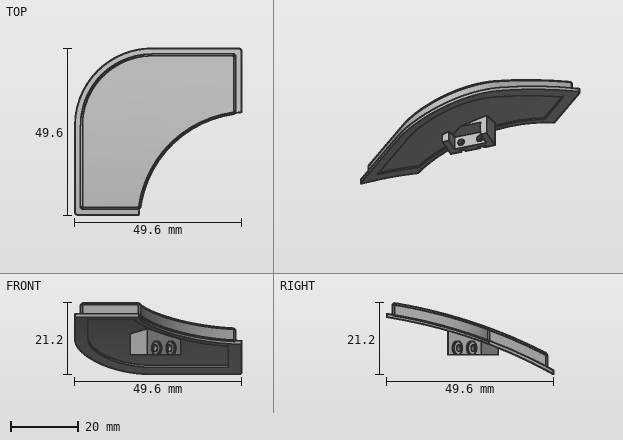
import cadquery as cq
import math

SIDE = 49.6
TURN_RADIUS = 23.0
CORNER_RADIUS = 1.0

CROWN_Y = -72.0
FLANGE_BOTTOM_RADIUS = 148.0
FLANGE_THICKNESS = 1.05
PLUG_THICKNESS = 3.5
RECESS_DEPTH = 0.55
FLANGE_TOP_RADIUS = FLANGE_BOTTOM_RADIUS + FLANGE_THICKNESS
PLUG_TOP_RADIUS = FLANGE_TOP_RADIUS + PLUG_THICKNESS
RECESS_RADIUS = FLANGE_BOTTOM_RADIUS + RECESS_DEPTH
CROWN_Z = -math.sqrt(FLANGE_BOTTOM_RADIUS**2 - CROWN_Y**2)

BEND_CENTRE = 51.65
FLANGE_BEND_RADIUS = 32.65
BEND_OVERHANG = 0.3
PLUG_BEND_RADIUS = FLANGE_BEND_RADIUS - BEND_OVERHANG
RECESS_BEND_RADIUS = 34.6

PLUG_ROOT_DEPTH = 0.45
PLUG_ROOT_RADIUS = FLANGE_TOP_RADIUS - PLUG_ROOT_DEPTH
PLUG_INSET = 1.7
PLUG_CHAMFER = 0.6
RECESS_INSET = 3.9

BLOCK_LENGTH = 14.0
BLOCK_WIDTH = 7.2
BLOCK_CENTRE = 23.95
BLOCK_BOTTOM_Z = 5.8
BLOCK_OVERLAP = 0.1
SCREW_SPACING = 6.0
SCREW_HEIGHT = 2.0
SCREW_DIAMETER = 1.9
COUNTERBORE_DIAMETER = 4.2
COUNTERBORE_DEPTH = 0.7
POCKET_LENGTH = 10.0
POCKET_DEPTH = 5.0
POCKET_HEIGHT = 4.2

CLEARANCE = 10.0
PRISM_HEIGHT = 40.0


def bend_end_position(far, bend_radius):
    """Distance along the far edges at which the inner bend meets them."""
    return BEND_CENTRE - math.sqrt(bend_radius**2 - (BEND_CENTRE - far) ** 2)


def bend_prism(inset, bend_radius):
    """Upright prism of the footprint, inset from the square and cut by the inner bend."""
    near = inset
    far = SIDE - inset
    turn = TURN_RADIUS - inset
    turn_mid = TURN_RADIUS - turn * math.sqrt(0.5)
    bend_end = bend_end_position(far, bend_radius)
    bend_mid = BEND_CENTRE - bend_radius * math.sqrt(0.5)
    return (
        cq.Workplane("XY")
        .moveTo(near, -far)
        .lineTo(near, -TURN_RADIUS)
        .threePointArc((turn_mid, -turn_mid), (TURN_RADIUS, -near))
        .lineTo(far, -near)
        .lineTo(far, -bend_end)
        .threePointArc((bend_mid, -bend_mid), (bend_end, -far))
        .close()
        .extrude(PRISM_HEIGHT)
    )


def crown_cylinder(radius):
    """Solid cylinder along X below a crowned skin."""
    return (
        cq.Workplane("YZ", origin=(-CLEARANCE, 0, 0))
        .center(CROWN_Y, CROWN_Z)
        .circle(radius)
        .extrude(SIDE + 2 * CLEARANCE)
    )


def crown_height(y, radius):
    """Height of a crowned skin at the given Y."""
    return CROWN_Z + math.sqrt(radius**2 - (y - CROWN_Y) ** 2)


def nearest(x, y, z):
    """Selector for the edge or face centred nearest to a point."""
    return cq.selectors.NearestToPointSelector((x, y, z))


def make_flange():
    """Thin crowned plate with rounded square corners."""
    upright = PRISM_HEIGHT / 2
    square_corners = nearest(0, -SIDE, upright) + nearest(SIDE, 0, upright)
    prism = bend_prism(0, FLANGE_BEND_RADIUS).edges(square_corners).fillet(CORNER_RADIUS)
    return prism.intersect(crown_cylinder(FLANGE_TOP_RADIUS)).cut(crown_cylinder(FLANGE_BOTTOM_RADIUS))


def make_plug():
    """Raised body on the flange, overhanging it along the inner bend."""
    near = PLUG_INSET
    far = SIDE - PLUG_INSET
    bend_end = bend_end_position(far, PLUG_BEND_RADIUS)
    upright = PRISM_HEIGHT / 2
    corners = (
        nearest(near, -far, upright)
        + nearest(bend_end, -far, upright)
        + nearest(far, -bend_end, upright)
        + nearest(far, -near, upright)
    )
    prism = bend_prism(PLUG_INSET, PLUG_BEND_RADIUS).edges(corners).chamfer(PLUG_CHAMFER)
    plug = prism.intersect(crown_cylinder(PLUG_TOP_RADIUS)).cut(crown_cylinder(PLUG_ROOT_RADIUS))

    bend_mid = BEND_CENTRE - PLUG_BEND_RADIUS * math.sqrt(0.5)
    overhang_edge = nearest(bend_mid, -bend_mid, crown_height(-bend_mid, PLUG_ROOT_RADIUS))
    plug = plug.edges(overhang_edge).chamfer(PLUG_ROOT_DEPTH)

    top_face = nearest(TURN_RADIUS, -TURN_RADIUS, crown_height(-TURN_RADIUS, PLUG_TOP_RADIUS))
    return plug.faces(top_face).edges().chamfer(PLUG_CHAMFER)


def make_recess():
    """Shallow hollow in the underside, as a solid to cut away."""
    return bend_prism(RECESS_INSET, RECESS_BEND_RADIUS).intersect(crown_cylinder(RECESS_RADIUS))


def make_block():
    """Block for two counterbored screws, with a pocket behind them that opens downwards."""
    centre = (BLOCK_CENTRE, -BLOCK_CENTRE, BLOCK_BOTTOM_Z)
    frame = cq.Workplane(cq.Plane(origin=centre, xDir=(1, 1, 0), normal=(0, 0, 1)))
    block = frame.rect(BLOCK_LENGTH, BLOCK_WIDTH).extrude(PRISM_HEIGHT)
    pocket = (
        frame.center(0, (BLOCK_WIDTH - POCKET_DEPTH) / 2)
        .rect(POCKET_LENGTH, POCKET_DEPTH)
        .extrude(POCKET_HEIGHT)
    )
    middle = cq.Workplane(cq.Plane(origin=centre, xDir=(1, 1, 0), normal=(1, -1, 0)))
    front = middle.workplane(offset=BLOCK_WIDTH / 2)
    points = [(-SCREW_SPACING / 2, SCREW_HEIGHT), (SCREW_SPACING / 2, SCREW_HEIGHT)]
    holes = front.pushPoints(points).circle(SCREW_DIAMETER / 2).extrude(-BLOCK_WIDTH)
    bores = front.pushPoints(points).circle(COUNTERBORE_DIAMETER / 2).extrude(-COUNTERBORE_DEPTH)
    block = block.cut(pocket).cut(holes).cut(bores)
    return block.intersect(crown_cylinder(RECESS_RADIUS + BLOCK_OVERLAP))


result = make_flange().union(make_plug()).cut(make_recess()).union(make_block())